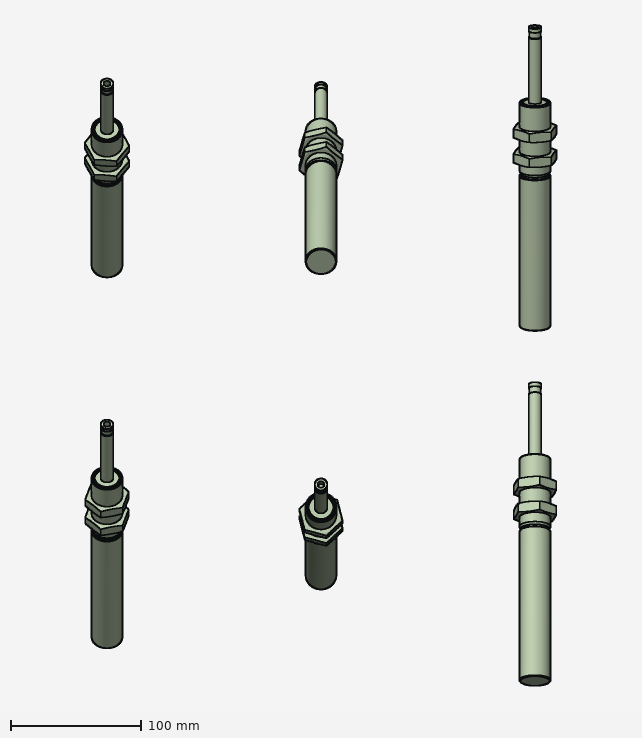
import cadquery as cq
import math

total_height = 241.7
barrel_diameter = 24.0
barrel_height = 181.0

bottom_chamfer = 0.7
top_chamfer = 0.7
end_recess_diameter = 20.0
end_plug_diameter = 18.9
end_recess_depth = 0.7

groove_bottom = 121.5
groove_top = 125.7
groove_taper_height = 2.0
groove_diameter = 22.5
groove_lower_chamfer = 0.7

rod_diameter = 10.0
rod_chamfer = 0.2
rod_hole_diameter = 5.0
rod_hole_depth = 7.3
rod_neck_diameter = 9.0
rod_neck_bottom = 233.2
rod_neck_top = 238.3

hexagon_half_angle = 30.0
nut_width = 30.0
nut_height = 8.0
nut_chamfer_angle = 15.0
upper_nut_bottom = 153.2
lower_nut_bottom = 133.2


def cylinder(diameter, bottom, height):
    return cq.Workplane("XY").workplane(offset=bottom).circle(diameter / 2).extrude(height)


def ring(outer_diameter, inner_diameter, bottom, height):
    return cylinder(outer_diameter, bottom, height).cut(cylinder(inner_diameter, bottom, height))


def revolved(profile):
    return cq.Workplane("XZ").polyline(profile).close().revolve(360, (0, 0, 0), (0, 1, 0))


def make_barrel():
    barrel = cylinder(barrel_diameter, 0, barrel_height)
    barrel = barrel.faces("<Z").chamfer(bottom_chamfer)
    barrel = barrel.faces(">Z").chamfer(top_chamfer)
    barrel = barrel.cut(
        ring(end_recess_diameter, end_plug_diameter, barrel_height - end_recess_depth, end_recess_depth)
    )
    return barrel.cut(make_barrel_groove())


def make_barrel_groove():
    outer = barrel_diameter / 2
    floor = groove_diameter / 2
    profile = [
        (outer, groove_top),
        (floor, groove_top - groove_taper_height),
        (floor, groove_bottom + groove_lower_chamfer),
        (outer, groove_bottom),
    ]
    return revolved(profile)


def make_rod():
    rod = cylinder(rod_diameter, barrel_height, total_height - barrel_height)
    rod = rod.faces(">Z").chamfer(rod_chamfer)
    rod = rod.cut(cylinder(rod_hole_diameter, total_height - rod_hole_depth, rod_hole_depth))
    return rod.cut(make_rod_neck())


def make_rod_neck():
    outer = rod_diameter / 2
    floor = rod_neck_diameter / 2
    profile = [
        (outer, rod_neck_top),
        (floor, rod_neck_top),
        (floor, rod_neck_bottom + outer - floor),
        (outer, rod_neck_bottom),
    ]
    return revolved(profile)


def make_nut(bottom):
    corner_diameter = nut_width / math.cos(math.radians(hexagon_half_angle))
    corner_trim = (corner_diameter - nut_width) / 2
    chamfer_height = corner_trim * math.tan(math.radians(nut_chamfer_angle))
    hexagon = cq.Workplane("XY").polygon(6, corner_diameter).extrude(nut_height)
    hexagon = hexagon.rotate((0, 0, 0), (0, 0, 1), hexagon_half_angle)
    trim = cylinder(corner_diameter, 0, nut_height)
    trim = trim.faces(">Z").chamfer(chamfer_height, corner_trim)
    trim = trim.faces("<Z").chamfer(chamfer_height, corner_trim)
    nut = hexagon.intersect(trim).cut(cylinder(barrel_diameter, 0, nut_height))
    return nut.translate((0, 0, bottom))


absorber = make_barrel().union(make_rod())
nuts = [make_nut(bottom) for bottom in (upper_nut_bottom, lower_nut_bottom)]

result = cq.Compound.makeCompound([absorber.val(), *[nut.val() for nut in nuts]])